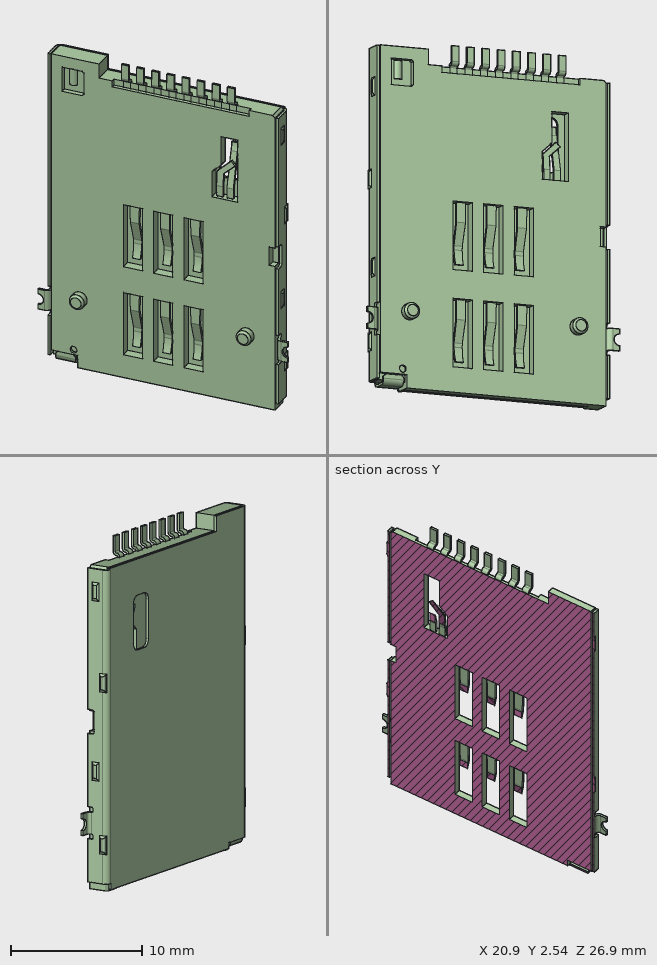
import cadquery as cq
import math


housing_half_width = 9.38
housing_back = 1.62
housing_length = 25.32
floor_thickness = 0.8
shoulder_top = 26.53
shoulder_right = -5.38
corner_chamfer = 0.2
back_edge_radius = 0.15

card_left, card_right = -7.0, 8.2
card_top = 23.0

foot_right = -7.18
foot_top = 1.05
ledge_bottom = 0.54
ledge_front, ledge_back = 0.36, 1.55

peg_x, peg_z = 7.0, 5.94
peg_diameter, peg_height = 1.25, 0.72
peg_chamfer = 0.18

pocket_left, pocket_right = -8.48, -6.65
pocket_bottom, pocket_top = 23.5, 25.58
pocket_depth = 0.43
pocket_corner = 0.15
rib_left, rib_right = -8.07, -7.39
rib_bottom, rib_top = 24.07, 25.5
rib_height = 0.2

mark_x, mark_z = -7.52, 1.48
mark_diameter, mark_depth = 0.55, 0.2

notch_left = 8.9
notch_bottom, notch_top = 12.37, 13.93
notch_depth = 0.65

sheet = 0.2
strip_front = 0.33
strip_back = strip_front + sheet
tail_front = -0.08
tail_pitch = 1.27
tail_width = 0.6
tail_top = 26.95
tail_bend_end = housing_length + strip_front - tail_front
tail_count = 8
first_tail_x = -2.5 * tail_pitch

groove_left, groove_right = -4.28, 7.22
groove_bottom = 24.81

lane_width = 0.4
lane_jog_z = 24.0
lane_wall = 0.1

contact_pitch = 2 * tail_pitch
contact_xs = (-contact_pitch, 0, contact_pitch)
contact_root_width, contact_tip_width = 0.78, 0.64
window_width, window_length = 1.6, 5.34
upper_window_top, lower_window_top = 14.88, 7.31
lower_jog_z = 8.4
flat_length = 1.55
crest_start, crest_end = 3.27, 3.6
contact_reach = 4.78
crest_front = 0.88
contact_tip_front = 0.62
contact_curve_share = 0.72

switch_left, switch_right = 4.08, 6.25
switch_neck_left = 4.86
switch_bottom, switch_top = 17.2, 22.54
neck_start, neck_end = 19.36, 20.07
switch_strip_width = 0.53
hook_x, blade_x = 4.6, 5.465
switch_bend_z = 18.07
hook_elbow_outer, hook_elbow_inner = 19.27, 19.12
hook_tip_x, hook_tip_z = 5.46, 20.3
hook_corner_x, hook_corner_z = 5.8, 19.95
hook_slope = 0.1
blade_knee_z, blade_top = 20.93, 21.62
blade_knee_front, blade_tip_front = 1.05, 1.2
blade_curve_share = 0.7
switch_u_turn_z = 16.4

shell_half_width = 9.68
shell_back = housing_back + sheet
shell_bend = 0.44
shell_bottom = 0.59
shell_top = 26.49
shell_setback = 0.05
shell_step_x = shoulder_right - shell_setback
shell_step_z = housing_length - shell_setback
right_wall_top = 25.15
lip_bottom = 0.12

shell_hole_left, shell_hole_right = 4.0, 6.07
shell_hole_bottom, shell_hole_top = 18.15, 22.45
shell_hole_corner = 0.6

shell_notch_bottom, shell_notch_top = 12.2, 14.1
shell_notch_depth = 0.6
shell_notch_corner = 0.2

dimple_height = 0.1
dimple_base_length, dimple_base_width = 1.45, 0.62
dimple_tip_length, dimple_tip_width = 1.02, 0.3
front_dimple_y, back_dimple_y = 0.72, 1.38
front_dimple_zs = (23.38, 9.32)
back_dimple_zs = (16.32, 3.65)

lug_reach = 10.475
lug_bottom, lug_top = 4.37, 6.08
lug_bend_inner = 0.25
lug_bite_radius = 0.46
relief_width, relief_depth = 0.4, 0.5
relief_corner = 0.15

hook_tab_left, hook_tab_right = -9.07, -7.4
hook_tab_front = 0.1
hook_tab_bottom, hook_tab_top = 0.17, 0.99
hook_tab_bend = 0.45
hook_tab_corner = 0.2

cos_45 = math.sqrt(0.5)


def block(x0, x1, y0, y1, z0, z1):
    """Box between two corners."""
    return cq.Workplane("XY").box(x1 - x0, y1 - y0, z1 - z0, centered=False).translate((x0, y0, z0))


def facing(y):
    """Sketch plane at depth y: local x = X, local y = Z, extrusion runs toward -Y."""
    return cq.Workplane(cq.Plane(origin=(0, y, 0), xDir=(1, 0, 0), normal=(0, -1, 0)))


def prism(points, y0, y1):
    """Polygon of (x, z) points extruded from y0 to y1."""
    return facing(y0).polyline(points).close().extrude(y0 - y1)


def side_sketch(x):
    """Sketch plane at width x: local x = Y, local y = Z, extrusion runs toward +X."""
    return cq.Workplane("YZ", origin=(x, 0, 0))


def mirrored(body):
    """Copy on the other side of x = 0."""
    return body.mirror("YZ")


def strip_run(points):
    """Flat strip inside the housing floor through points joined by straight X or Z runs."""
    half = lane_width / 2
    run = cq.Workplane()
    for (xa, za), (xb, zb) in zip(points, points[1:]):
        run = run.union(block(
            min(xa, xb) - half, max(xa, xb) + half, strip_front, strip_back,
            min(za, zb) - half, max(za, zb) + half,
        ))
    return run


def tail(x):
    """Solder tail: leaves the floor upward and steps forward to the board plane through two bends."""
    offset = strip_front - tail_front
    mid_radius = offset / 2
    inner = mid_radius - sheet / 2
    outer = mid_radius + sheet / 2
    bend_start = tail_bend_end - offset
    centre_y = strip_front - inner
    return (
        side_sketch(x - tail_width / 2)
        .moveTo(strip_front, lane_jog_z)
        .lineTo(strip_front, bend_start)
        .threePointArc(
            (centre_y + inner * cos_45, bend_start + inner * cos_45), (centre_y, bend_start + inner)
        )
        .threePointArc(
            (centre_y - outer * cos_45, tail_bend_end - outer * cos_45), (tail_front, tail_bend_end)
        )
        .lineTo(tail_front, tail_top)
        .lineTo(tail_front + sheet, tail_top)
        .lineTo(tail_front + sheet, tail_bend_end)
        .threePointArc(
            (centre_y - inner * cos_45, tail_bend_end - inner * cos_45), (centre_y, tail_bend_end - inner)
        )
        .threePointArc(
            (centre_y + outer * cos_45, bend_start + outer * cos_45), (strip_back, bend_start)
        )
        .lineTo(strip_back, lane_jog_z)
        .close()
        .extrude(tail_width)
    )


def arch_contact(x, top):
    """Spring contact hanging from the top of a window and arching into the card space."""
    root, tip = contact_root_width / 2, contact_tip_width / 2
    bottom = top - contact_reach
    plan = prism([(x - root, top), (x + root, top), (x + tip, bottom), (x - tip, bottom)], 0, housing_back)
    curve_z = top - (crest_end + contact_reach) / 2
    curve_front = contact_tip_front + contact_curve_share * (crest_front - contact_tip_front)
    profile = (
        side_sketch(x - root)
        .moveTo(strip_front, top)
        .lineTo(strip_front, top - flat_length)
        .lineTo(crest_front, top - crest_start)
        .lineTo(crest_front, top - crest_end)
        .threePointArc((curve_front, curve_z), (contact_tip_front, bottom))
        .lineTo(contact_tip_front + sheet, bottom)
        .threePointArc((curve_front + sheet, curve_z), (crest_front + sheet, top - crest_end))
        .lineTo(crest_front + sheet, top - crest_start)
        .lineTo(strip_back, top - flat_length)
        .lineTo(strip_back, top)
        .close()
        .extrude(contact_root_width)
    )
    return plan.intersect(profile)


def card_terminal(tail_x, contact_x, lane_x, window_top, entry_z):
    """Tail, floor strip and arch contact; the strip runs down lane_x and crosses over at entry_z."""
    strip = strip_run([
        (tail_x, lane_jog_z), (lane_x, lane_jog_z), (lane_x, entry_z),
        (contact_x, entry_z), (contact_x, window_top + lane_width / 2),
    ])
    return tail(tail_x).union(strip).union(arch_contact(contact_x, window_top))


def switch_strip(tail_x, lane_x, entry_x):
    """Tail and floor strip that passes a switch window and turns up into its lower edge."""
    strip = strip_run([
        (tail_x, lane_jog_z), (lane_x, lane_jog_z), (lane_x, switch_u_turn_z),
        (entry_x, switch_u_turn_z), (entry_x, switch_bottom - lane_width / 2),
    ])
    return tail(tail_x).union(strip)


def switch_hook():
    """Switch spring that bends sideways in front of the blade."""
    half = switch_strip_width / 2
    plan = prism([
        (hook_x - half, switch_bottom), (hook_x - half, hook_elbow_outer), (hook_tip_x, hook_tip_z),
        (hook_corner_x, hook_corner_z), (hook_x + half, hook_elbow_inner), (hook_x + half, switch_bottom),
    ], 0, housing_back)
    tip_front = strip_front + hook_slope * (hook_tip_z - switch_bend_z)
    profile = (
        side_sketch(switch_left)
        .polyline([
            (strip_front, switch_bottom), (strip_front, switch_bend_z), (tip_front, hook_tip_z),
            (tip_front + sheet, hook_tip_z), (strip_back, switch_bend_z), (strip_back, switch_bottom),
        ])
        .close()
        .extrude(switch_right - switch_left)
    )
    return plan.intersect(profile)


def switch_blade():
    """Straight switch spring that slopes into the card space and levels out at its tip."""
    curve_front = blade_knee_front + blade_curve_share * (blade_tip_front - blade_knee_front)
    curve_z = (blade_knee_z + blade_top) / 2
    return (
        side_sketch(blade_x - switch_strip_width / 2)
        .moveTo(strip_front, switch_bottom)
        .lineTo(strip_front, switch_bend_z)
        .lineTo(blade_knee_front, blade_knee_z)
        .threePointArc((curve_front, curve_z), (blade_tip_front, blade_top))
        .lineTo(blade_tip_front + sheet, blade_top)
        .threePointArc((curve_front + sheet, curve_z), (blade_knee_front + sheet, blade_knee_z))
        .lineTo(strip_back, switch_bend_z)
        .lineTo(strip_back, switch_bottom)
        .close()
        .extrude(switch_strip_width)
    )


def make_terminals():
    """Six card terminals, alternating lower and upper row, then the two switch terminals."""
    tails = [first_tail_x + index * tail_pitch for index in range(tail_count)]
    terminals = []
    for column, contact_x in enumerate(contact_xs):
        lane_x = contact_x - contact_pitch / 2
        lower = card_terminal(tails[2 * column], contact_x, lane_x, lower_window_top, lower_jog_z)
        upper = card_terminal(tails[2 * column + 1], contact_x, contact_x, upper_window_top, lane_jog_z)
        terminals += [lower, upper]
    clearance = lane_width / 2 + lane_wall
    terminals.append(switch_strip(tails[6], switch_left - clearance, hook_x).union(switch_hook()))
    terminals.append(switch_strip(tails[7], switch_right + clearance, blade_x).union(switch_blade()))
    return terminals


def make_housing(terminals):
    body = prism([
        (foot_right, 0), (housing_half_width, 0),
        (housing_half_width, housing_length - corner_chamfer),
        (housing_half_width - corner_chamfer, housing_length),
        (shoulder_right, housing_length), (shoulder_right, shoulder_top),
        (-housing_half_width, shoulder_top), (-housing_half_width, foot_top), (foot_right, foot_top),
    ], 0, housing_back)
    body = body.edges("|Z and >Y").edges("<X or >X").fillet(back_edge_radius)
    body = body.union(block(-housing_half_width, foot_right, ledge_front, ledge_back, ledge_bottom, foot_top))

    body = body.cut(block(card_left, card_right, floor_thickness, housing_back, 0, card_top))

    for top in (upper_window_top, lower_window_top):
        for contact_x in contact_xs:
            left = contact_x - window_width / 2
            body = body.cut(block(left, left + window_width, 0, floor_thickness, top - window_length, top))
    body = body.cut(prism([
        (switch_left, switch_bottom), (switch_right, switch_bottom), (switch_right, switch_top),
        (switch_neck_left, switch_top), (switch_neck_left, neck_end), (switch_left, neck_start),
    ], 0, floor_thickness))

    body = body.cut(block(groove_left, groove_right, 0, strip_front, groove_bottom, housing_length))

    pocket = block(pocket_left, pocket_right, 0, pocket_depth, pocket_bottom, pocket_top)
    body = body.cut(pocket.edges(">X and |Y").chamfer(pocket_corner))
    rib = (
        cq.Workplane("XY", origin=(0, 0, rib_bottom))
        .moveTo(rib_left, pocket_depth)
        .threePointArc(((rib_left + rib_right) / 2, pocket_depth - rib_height), (rib_right, pocket_depth))
        .close()
        .extrude(rib_top - rib_bottom)
    )
    body = body.union(rib)

    body = body.cut(facing(0).center(mark_x, mark_z).circle(mark_diameter / 2).extrude(-mark_depth))
    body = body.cut(block(notch_left, housing_half_width, 0, notch_depth, notch_bottom, notch_top))

    for x in (-peg_x, peg_x):
        peg = facing(0).center(x, peg_z).circle(peg_diameter / 2).extrude(peg_height)
        body = body.union(peg.faces("<Y").chamfer(peg_chamfer))

    for terminal in terminals:
        body = body.cut(terminal)
    return body


def envelope(offset):
    """Solid bounded by the outer shell surface moved outward by offset, square at the front."""
    half_width = shell_half_width + offset
    return (
        block(-half_width, half_width, 0, shell_back + offset, shell_bottom, shell_top)
        .edges(">Y and |Z").fillet(shell_bend + offset)
    )


def shell_cover():
    """Lid plate with two bent side walls, stepped at the tail end."""
    cover = envelope(0).cut(envelope(-sheet))
    cover = cover.cut(block(shell_step_x, shell_half_width, 0, shell_back, shell_step_z, shell_top))
    cover = cover.cut(block(housing_half_width, shell_half_width, 0, shell_back, right_wall_top, shell_top))
    lip = block(foot_right, housing_half_width - sheet, housing_back, shell_back, lip_bottom, shell_bottom)
    return cover.union(lip)


def hook_tab():
    """Tab bent round the housing ledge at the card end, rising again at the front."""
    def section(front, back, bottom, bend):
        return (
            block(hook_tab_left, hook_tab_right, front, back, bottom, hook_tab_top)
            .edges("<Z and |X").fillet(bend)
        )

    tab = section(hook_tab_front, shell_back, hook_tab_bottom, hook_tab_bend)
    inner_bottom = hook_tab_bottom + sheet
    tab = tab.cut(section(hook_tab_front + sheet, housing_back, inner_bottom, hook_tab_bend - sheet))
    return tab.edges("|Y").edges(">Z").edges("<Y").chamfer(hook_tab_corner)


def dimple(y, z):
    """Tapered bump on the right wall, rooted in the sheet and following the bend where it meets it."""
    root = (
        side_sketch(shell_half_width - sheet)
        .center(y, z)
        .rect(dimple_base_width, dimple_base_length)
        .extrude(sheet)
    )
    bump = (
        side_sketch(shell_half_width)
        .center(y, z)
        .rect(dimple_base_width, dimple_base_length)
        .workplane(offset=dimple_height)
        .rect(dimple_tip_width, dimple_tip_length)
        .loft()
    )
    return root.union(bump).intersect(envelope(dimple_height))


def solder_lug():
    """Lug bent outward from the right wall, with a round bite in its end."""
    inner_x = shell_half_width - sheet
    outer_bend = lug_bend_inner + sheet
    centre_x = inner_x + outer_bend
    centre_y = tail_front + outer_bend
    lug = (
        cq.Workplane("XY", origin=(0, 0, lug_bottom))
        .moveTo(inner_x, centre_y)
        .threePointArc(
            (centre_x - outer_bend * cos_45, centre_y - outer_bend * cos_45),
            (centre_x, tail_front),
        )
        .lineTo(lug_reach, tail_front)
        .lineTo(lug_reach, tail_front + sheet)
        .lineTo(centre_x, tail_front + sheet)
        .threePointArc(
            (centre_x - lug_bend_inner * cos_45, centre_y - lug_bend_inner * cos_45),
            (shell_half_width, centre_y),
        )
        .close()
        .extrude(lug_top - lug_bottom)
    )
    bite = facing(tail_front).center(lug_reach, (lug_bottom + lug_top) / 2).circle(lug_bite_radius)
    return lug.cut(bite.extrude(-sheet))


def lug_clearance():
    """Opening in the right wall for the lug bend, with a relief slot at each end."""
    inner_x = shell_half_width - sheet
    opening = block(
        inner_x, shell_half_width, 0, tail_front + sheet + lug_bend_inner, lug_bottom, lug_top
    )
    for z in (lug_bottom - relief_width, lug_top):
        slot = block(inner_x, shell_half_width, 0, relief_depth, z, z + relief_width)
        opening = opening.union(slot.edges(">Y and |X").fillet(relief_corner))
    return opening


def make_shell():
    shell = shell_cover().union(hook_tab())

    clearance = lug_clearance()
    shell = shell.cut(clearance).cut(mirrored(clearance))
    lug = solder_lug()
    shell = shell.union(lug).union(mirrored(lug))

    spots = [(front_dimple_y, z) for z in front_dimple_zs] + [(back_dimple_y, z) for z in back_dimple_zs]
    for y, z in spots:
        bump = dimple(y, z)
        shell = shell.union(bump).union(mirrored(bump))

    hole = block(
        shell_hole_left, shell_hole_right, housing_back, shell_back, shell_hole_bottom, shell_hole_top
    )
    shell = shell.cut(hole.edges("|Y").fillet(shell_hole_corner))

    notch = block(
        shell_half_width - sheet, shell_half_width, 0, shell_notch_depth, shell_notch_bottom, shell_notch_top
    )
    return shell.cut(notch.edges(">Y and |X").fillet(shell_notch_corner))


terminals = make_terminals()
housing = make_housing(terminals)
shell = make_shell()

result = cq.Compound.makeCompound(
    [housing.val(), shell.val(), *[terminal.val() for terminal in terminals]]
)